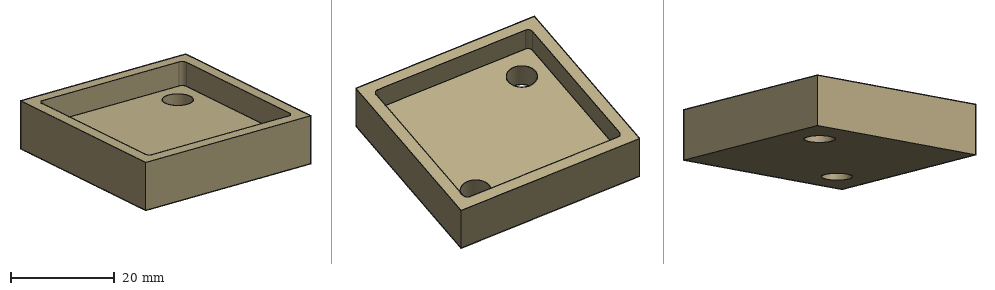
import cadquery as cq

side = 40.0
height = 10.0

pocket_side = 35.0
pocket_depth = height / 2
pocket_corner_radius = 1.0

hole_diameter = 6.0
hole_centers = [(-12.0, 12.0), (11.2, -12.0)]

body = cq.Workplane("XY").box(side, side, height, centered=(True, True, False))

floor_level = height - pocket_depth
pocket = (
    cq.Workplane("XY")
    .workplane(offset=floor_level)
    .rect(pocket_side, pocket_side)
    .extrude(pocket_depth)
    .edges("|Z")
    .fillet(pocket_corner_radius)
)

holes = (
    cq.Workplane("XY")
    .pushPoints(hole_centers)
    .circle(hole_diameter / 2)
    .extrude(height)
)

result = body.cut(pocket).cut(holes)